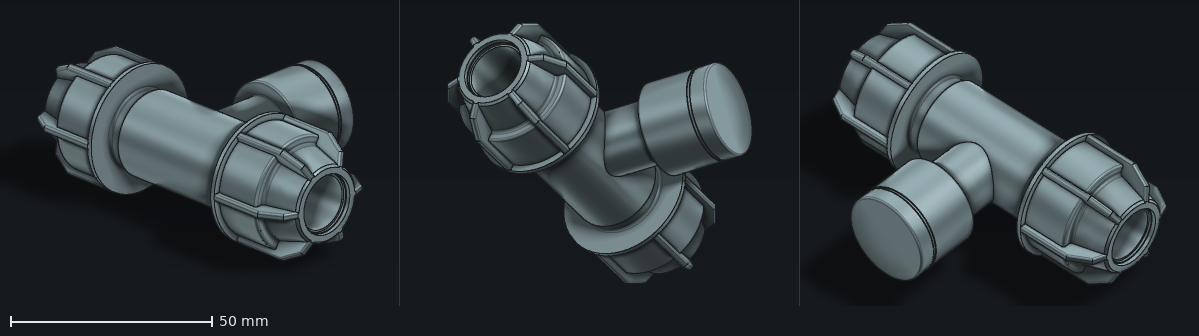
import cadquery as cq
import math

half_length = 45.0
bore_radius = 14.4 / 2
mouth_radius = 16.0 / 2
mouth_depth = 1.2
seat_radius = 7.7
seat_depth = 1.9

sleeve_radius = 22.9 / 2
sleeve_half_length = 17.5
sleeve_edge_round = 0.3
neck_radius = 20.8 / 2
neck_fillet = 0.7

flange_radius = 34.0 / 2
flange_inner_x = 21.15
flange_thickness = 1.3
flange_outer_x = flange_inner_x + flange_thickness
grip_radius = 15.3
grip_end_x = 35.4
grip_edge_round = 0.6
cone_base_radius = 12.6
cone_root_fillet = 0.8
cone_tip_radius = 10.35
nose_chamfer = 0.6

rib_count = 6
rib_thickness = 1.9
rib_edge_round = 0.5
rib_root_radius = 9.0
rib_tip_radius = 10.1
rib_shoulder_x = 43.65
rib_shoulder_radius = 13.7
rib_full_height_x = 37.8

branch_end_y = 42.0
branch_neck_radius = 16.7 / 2
branch_head_radius = 24.2 / 2
branch_head_start_y = 22.7
branch_head_edge_round = 0.45
branch_root_fillet = 0.3
groove_start_y = 36.7
groove_width = 0.8
groove_depth = 0.3

quarter_arc_offset = 1 - math.sqrt(0.5)

pick_margin = 0.1


def cylinder_x(radius, start_x, end_x):
    return cq.Workplane("YZ").workplane(offset=start_x).circle(radius).extrude(end_x - start_x)


def make_nut_body():
    """Flange, grip and cone of the +X nut, turned about the X axis."""
    cone_start_x = grip_end_x + cone_root_fillet
    fillet_mid = cone_root_fillet * quarter_arc_offset
    round_mid = grip_edge_round * quarter_arc_offset
    neck_mid = neck_fillet * quarter_arc_offset
    profile = (
        cq.Workplane("XY")
        .moveTo(flange_inner_x - neck_fillet, 0)
        .lineTo(flange_inner_x - neck_fillet, neck_radius)
        .threePointArc(
            (flange_inner_x - neck_mid, neck_radius + neck_mid),
            (flange_inner_x, neck_radius + neck_fillet),
        )
        .lineTo(flange_inner_x, flange_radius)
        .lineTo(flange_outer_x, flange_radius)
        .lineTo(flange_outer_x, grip_radius)
        .lineTo(grip_end_x - grip_edge_round, grip_radius)
        .threePointArc(
            (grip_end_x - round_mid, grip_radius - round_mid),
            (grip_end_x, grip_radius - grip_edge_round),
        )
        .lineTo(grip_end_x, cone_base_radius + cone_root_fillet)
        .threePointArc(
            (grip_end_x + fillet_mid, cone_base_radius + fillet_mid),
            (cone_start_x, cone_base_radius),
        )
        .lineTo(half_length - nose_chamfer, cone_tip_radius)
        .lineTo(half_length, cone_tip_radius - nose_chamfer)
        .lineTo(half_length, 0)
        .close()
    )
    return profile.revolve(360, (0, 0, 0), (1, 0, 0))


def make_rib():
    """One rib of the +X nut, standing in the +Y direction with rounded outer edges."""
    outline = [
        (flange_outer_x, rib_root_radius),
        (flange_outer_x, flange_radius),
        (rib_full_height_x, flange_radius),
        (rib_shoulder_x, rib_shoulder_radius),
        (half_length, rib_tip_radius),
        (half_length, rib_root_radius),
    ]
    rib = cq.Workplane("XY").polyline(outline).close().extrude(rib_thickness / 2, both=True)
    box_start = (flange_outer_x, rib_tip_radius, -rib_thickness)
    box_end = (half_length + pick_margin, flange_radius + pick_margin, rib_thickness)
    outer_edges = cq.selectors.BoxSelector(box_start, box_end)
    return rib.edges("not |Z").edges("not |Y").edges(outer_edges).fillet(rib_edge_round)


def make_nut():
    nut = make_nut_body()
    rib = make_rib()
    for index in range(rib_count):
        nut = nut.union(rib.rotate((0, 0, 0), (1, 0, 0), index * 360 / rib_count))
    return nut


def make_sleeve():
    sleeve = cylinder_x(sleeve_radius, -sleeve_half_length, sleeve_half_length)
    sleeve = sleeve.edges("%CIRCLE").fillet(sleeve_edge_round)
    return sleeve.union(cylinder_x(neck_radius, -flange_inner_x, flange_inner_x))


def make_branch():
    """Branch neck and grooved head, running from the X axis to the +Y end."""

    def disc(radius, start_y, end_y):
        return cq.Workplane("XZ").workplane(offset=-start_y).circle(radius).extrude(start_y - end_y)

    head = disc(branch_head_radius, branch_head_start_y, branch_end_y)
    head = head.faces("<Y or >Y").edges().fillet(branch_head_edge_round)
    groove_end_y = groove_start_y + groove_width
    groove = disc(branch_head_radius, groove_start_y, groove_end_y)
    groove = groove.cut(disc(branch_head_radius - groove_depth, groove_start_y, groove_end_y))
    branch = head.cut(groove).union(disc(branch_neck_radius, 0, branch_head_start_y))
    root_box = cq.selectors.BoxSelector(
        (-pick_margin, branch_head_start_y - pick_margin, -pick_margin),
        (pick_margin, branch_head_start_y + pick_margin, pick_margin),
    )
    root_edge = branch.edges(root_box).edges(cq.selectors.RadiusNthSelector(0))
    return root_edge.fillet(branch_root_fillet)


def cut_bore(body):
    """Straight bore along X that widens in two steps towards each end."""
    body = body.cut(cylinder_x(bore_radius, -half_length, half_length))
    for radius, depth in ((mouth_radius, mouth_depth), (seat_radius, seat_depth)):
        step = cylinder_x(radius, half_length - depth, half_length)
        body = body.cut(step).cut(step.mirror("YZ"))
    return body


nut = make_nut()
solid_tee = make_sleeve().union(make_branch()).union(nut).union(nut.mirror("YZ"))
result = cut_bore(solid_tee)